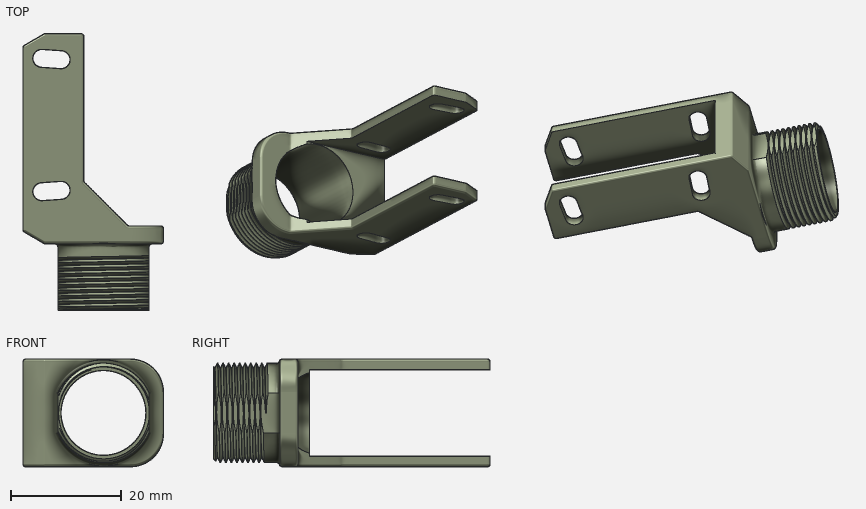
import cadquery as cq
import math


left_x = -14.55
right_x = 10.85
arm_width = 11.0
bracket_length = 38.0
flange_thickness = 3.25
bevel_width = 3.9
bevel_angle = 30.0
gusset_leg = 8.0

bracket_height = 19.5
arm_thickness = 1.95
web_thickness = 5.4
flange_corner_radius = 6.0
edge_radius = 0.5

slot_length = 6.7
slot_width = 3.2
slot_x = -9.4
slot_places = ((9.55, 4.0), (33.4, -4.0))

tube_length = 50.0 - bracket_length
tube_radius = 9.0
flat_offset = 8.25
bore_radius = 7.65
flare_radius = 0.6
flare_depth = 0.25
end_chamfer = 0.7

pitch = 1.0
thread_root_radius = 8.1
groove_width = 0.95
root_width = 0.05
thread_start = 2.5
cutter_overlap = 0.025

arm_right_x = left_x + arm_width
half_height = bracket_height / 2
bevel_depth = bevel_width * math.tan(math.radians(bevel_angle))


def make_blank():
    """Solid bracket with the two rounded flange corners and rounded outer edges."""
    outline = [
        (left_x + bevel_width, 0),
        (right_x, 0),
        (right_x, flange_thickness),
        (arm_right_x + gusset_leg, flange_thickness),
        (arm_right_x, flange_thickness + gusset_leg),
        (arm_right_x, bracket_length),
        (left_x + bevel_width, bracket_length),
        (left_x, bracket_length - bevel_depth),
        (left_x, bevel_depth),
    ]
    prism = cq.Workplane("XY").polyline(outline).close().extrude(half_height, both=True)
    rounded = prism.edges("|Y and >X").fillet(flange_corner_radius)

    corner_start_x = right_x - flange_corner_radius
    margin = edge_radius / 2
    tangent_lines = cq.selectors.BoxSelector(
        (corner_start_x - margin, margin, -bracket_height),
        (right_x + margin, flange_thickness - margin, bracket_height),
    )
    outer_edges = rounded.edges(cq.selectors.InverseSelector(tangent_lines))
    return outer_edges.fillet(edge_radius)


def make_fork_gap():
    """Block that separates the two arms behind the web."""
    return cq.Workplane("XY").box(
        2 * (right_x - left_x),
        bracket_length,
        bracket_height - 2 * arm_thickness,
    ).translate((0, web_thickness + bracket_length / 2, 0))


def make_slot(y, tilt):
    """Slot cutter through both arms."""
    return (
        cq.Workplane("XY")
        .center(slot_x, y)
        .slot2D(slot_length, slot_width, tilt)
        .extrude(half_height, both=True)
    )


def flared_profile(half_width):
    """Half section from the axis out to half_width, flaring at the flange (local Z from the flange)."""
    bend = flare_radius * (1 - math.sqrt(0.5))
    return (
        cq.Workplane("XZ")
        .moveTo(0, -flare_depth)
        .lineTo(half_width + flare_radius, -flare_depth)
        .lineTo(half_width + flare_radius, 0)
        .threePointArc((half_width + bend, bend), (half_width, flare_radius))
        .lineTo(half_width, tube_length)
        .lineTo(0, tube_length)
        .close()
    )


def make_groove_turn():
    """One right-hand turn of the V groove, beginning at thread_start."""
    helix = cq.Wire.makeHelix(pitch, pitch, tube_radius, cq.Vector(0, 0, thread_start))
    outer_radius = tube_radius + cutter_overlap
    profile = [
        (thread_root_radius, thread_start - root_width / 2),
        (outer_radius, thread_start - groove_width / 2),
        (outer_radius, thread_start + groove_width / 2),
        (thread_root_radius, thread_start + root_width / 2),
    ]
    section = cq.Workplane("XZ").polyline(profile).close()
    return section.sweep(cq.Workplane(obj=helix), isFrenet=True)


def make_tube():
    """Threaded tube with two side flats, flaring into the flange."""
    tube = flared_profile(tube_radius).revolve(360, (0, 0, 0), (0, 1, 0))
    tube = tube.faces(">Z").chamfer(end_chamfer)

    groove_turn = make_groove_turn()
    turn_count = math.ceil((tube_length - thread_start) / pitch)
    for turn in range(turn_count):
        tube = tube.cut(groove_turn.translate((0, 0, turn * pitch)))

    half_slab = flared_profile(flat_offset).extrude(2 * tube_radius, both=True)
    slab = half_slab.union(half_slab.mirror("YZ"))
    return tube.intersect(slab).rotate((0, 0, 0), (1, 0, 0), 90)


bracket = make_blank().cut(make_fork_gap())
for slot_y, slot_tilt in slot_places:
    bracket = bracket.cut(make_slot(slot_y, slot_tilt))

bore = cq.Workplane("XZ").circle(bore_radius).extrude(bracket_length, both=True)
result = bracket.union(make_tube()).cut(bore)